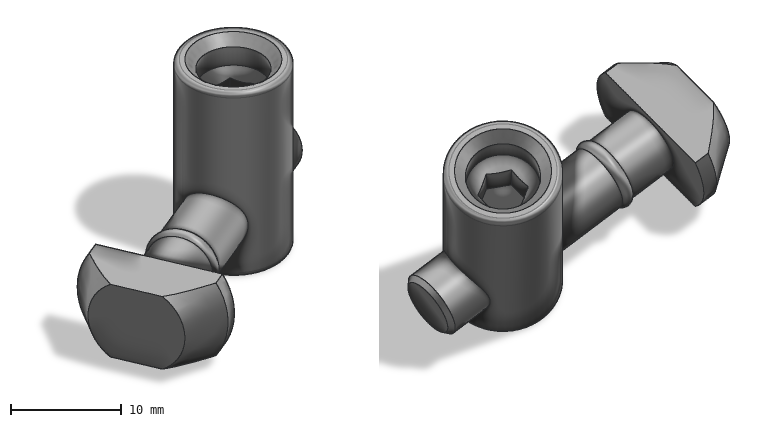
import cadquery as cq
import math


housing_radius = 5.4
housing_bottom = -5.63
housing_height = 20.3
housing_edge_fillet = 0.5
housing_top = housing_bottom + housing_height

mouth_radius = 4.4
mouth_depth = 1.0
bore_radius = 3.4
bore_length = 2.0
floor_cone_angle = 30
hex_across_flats = 4.0
hex_depth = 6.4
hex_corner_radius = hex_across_flats / math.sqrt(3)

bolt_length = 32.0
bolt_tip_y = 9.0
stem_radius = 3.23
tip_chamfer = 0.48
collar_y = -12.13
collar_radius = 3.55
collar_round_radius = 0.75
head_diameter = 14.75
head_face_radius = 4.75
head_radius = head_diameter / 2
head_thickness = 5.38
head_rim_thickness = 1.55
head_height = 8.0
head_face_y = bolt_tip_y - bolt_length
head_back_y = head_face_y + head_thickness
head_rim_y = head_back_y - head_rim_thickness


def revolve_about_y(profile):
    """Turn a closed XY profile around the Y axis."""
    return profile.close().revolve(360, (0, 0, 0), (0, 1, 0))


def make_stem():
    return revolve_about_y(
        cq.Workplane("XY")
        .moveTo(0, head_back_y)
        .lineTo(stem_radius, head_back_y)
        .lineTo(stem_radius, bolt_tip_y - tip_chamfer)
        .lineTo(stem_radius - tip_chamfer, bolt_tip_y)
        .lineTo(0, bolt_tip_y)
    )


def make_collar():
    """Solid disc with a half-round rim, centred on the stem axis."""
    round_center_x = collar_radius - collar_round_radius
    return revolve_about_y(
        cq.Workplane("XY")
        .moveTo(0, collar_y - collar_round_radius)
        .lineTo(round_center_x, collar_y - collar_round_radius)
        .threePointArc((collar_radius, collar_y), (round_center_x, collar_y + collar_round_radius))
        .lineTo(0, collar_y + collar_round_radius)
    )


def make_head():
    """Round head tapering to its face, cut flat above and below."""
    turned_head = revolve_about_y(
        cq.Workplane("XY")
        .moveTo(0, head_face_y)
        .lineTo(head_face_radius, head_face_y)
        .lineTo(head_radius, head_rim_y)
        .lineTo(head_radius, head_back_y)
        .lineTo(0, head_back_y)
    )
    flats = cq.Workplane("XY").box(2 * head_radius, 2 * bolt_length, head_height)
    return turned_head.intersect(flats)


def make_bolt():
    return make_stem().union(make_collar()).union(make_head())


def make_socket():
    """Material removed from the housing top."""
    bore_top = housing_top - mouth_depth
    bore_bottom = bore_top - bore_length
    floor_tip = bore_bottom - bore_radius * math.tan(math.radians(floor_cone_angle))
    turned_socket = (
        cq.Workplane("XZ")
        .moveTo(0, housing_top)
        .lineTo(mouth_radius, housing_top)
        .lineTo(bore_radius, bore_top)
        .lineTo(bore_radius, bore_bottom)
        .lineTo(0, floor_tip)
        .close()
        .revolve(360, (0, 0, 0), (0, 1, 0))
    )
    hex_recess = (
        cq.Workplane("XY", origin=(0, 0, housing_top - hex_depth))
        .polygon(6, 2 * hex_corner_radius)
        .extrude(hex_depth)
    )
    return turned_socket.union(hex_recess)


def make_housing():
    """Barrel with the socket and a cross hole that fits the bolt stem."""
    barrel = (
        cq.Workplane("XY", origin=(0, 0, housing_bottom))
        .circle(housing_radius)
        .extrude(housing_height)
        .edges()
        .fillet(housing_edge_fillet)
    )
    cross_hole = cq.Workplane("XZ").circle(stem_radius).extrude(housing_radius, both=True)
    return barrel.cut(make_socket()).cut(cross_hole)


housing = make_housing()
bolt = make_bolt()
result = cq.Compound.makeCompound([housing.val(), bolt.val()])